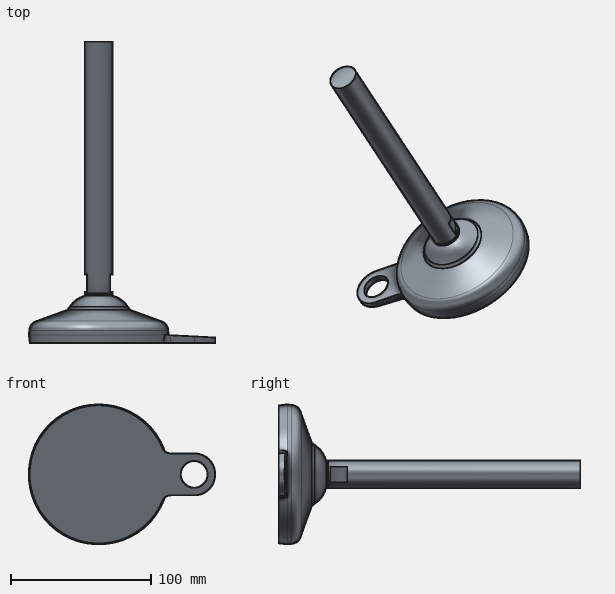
import cadquery as cq
import math

STEM_TOP = 215.0

PAD_RADIUS = 49.99
PAD_BOTTOM_RADIUS = 49.2
RIM_HEIGHT = 6.0
SHOULDER_START_RADIUS = 49.7
SHOULDER_START = 9.0
SHOULDER_MID_RADIUS = 48.0
SHOULDER_MID = 13.3
SHOULDER_END_RADIUS = 43.9
SHOULDER_END = 16.0
SEAT_EDGE_RADIUS = 22.5
SEAT_EDGE_HEIGHT = 23.6
SEAT_RADIUS = 20.9
SEAT_HEIGHT = 25.8

LUG_RADIUS = 15.0
LUG_CENTER = 68.05
LUG_HOLE_RADIUS = 9.5
LUG_TIP_THICKNESS = 4.0
LUG_ROOT_THICKNESS = 6.0
LUG_BLEND_RADIUS = 6.0

STEM_RADIUS = 10.0
DOME_TOP = 33.8
DOME_MID_RADIUS = 16.5
DOME_MID = 30.5
COLLAR_TOP = 34.5
NECK_RADIUS = 9.0
NECK_TOP = 35.5
FLAT_BOTTOM = 36.8
FLAT_TOP = 48.8
FLAT_OFFSET = 8.4


def revolve_about_y(profile):
    return profile.close().revolve(360, (0, 0, 0), (0, 1, 0))


def extrude_up(sketch, height):
    """Extrude an XZ sketch toward +Y."""
    return sketch.extrude(-height)


def make_pad():
    return revolve_about_y(
        cq.Workplane("XY")
        .lineTo(PAD_BOTTOM_RADIUS, 0)
        .lineTo(PAD_RADIUS, RIM_HEIGHT)
        .lineTo(SHOULDER_START_RADIUS, SHOULDER_START)
        .threePointArc((SHOULDER_MID_RADIUS, SHOULDER_MID), (SHOULDER_END_RADIUS, SHOULDER_END))
        .lineTo(SEAT_EDGE_RADIUS, SEAT_EDGE_HEIGHT)
        .lineTo(SEAT_RADIUS, SEAT_HEIGHT)
        .lineTo(0, SEAT_HEIGHT)
    )


def make_lug():
    blend_z = LUG_RADIUS + LUG_BLEND_RADIUS
    blend_distance = PAD_BOTTOM_RADIUS + LUG_BLEND_RADIUS
    blend_x = math.sqrt(blend_distance**2 - blend_z**2)
    pad_share = PAD_BOTTOM_RADIUS / blend_distance
    pad_x = blend_x * pad_share
    pad_z = blend_z * pad_share
    pad_angle = math.pi + math.atan2(blend_z, blend_x)
    mid_angle = (pad_angle + 3 * math.pi / 2) / 2
    mid_x = blend_x + LUG_BLEND_RADIUS * math.cos(mid_angle)
    mid_z = blend_z + LUG_BLEND_RADIUS * math.sin(mid_angle)
    tip = LUG_CENTER + LUG_RADIUS

    outline = (
        cq.Workplane("XZ")
        .lineTo(pad_x, pad_z)
        .threePointArc((mid_x, mid_z), (blend_x, LUG_RADIUS))
        .lineTo(LUG_CENTER, LUG_RADIUS)
        .threePointArc((tip, 0), (LUG_CENTER, -LUG_RADIUS))
        .lineTo(blend_x, -LUG_RADIUS)
        .threePointArc((mid_x, -mid_z), (pad_x, -pad_z))
        .close()
    )
    blank = extrude_up(outline, RIM_HEIGHT)

    wedge = (
        cq.Workplane("XY")
        .lineTo(tip, 0)
        .lineTo(tip, LUG_TIP_THICKNESS)
        .lineTo(pad_x, LUG_ROOT_THICKNESS)
        .lineTo(0, LUG_ROOT_THICKNESS)
        .close()
        .extrude(PAD_RADIUS, both=True)
    )
    hole = extrude_up(cq.Workplane("XZ").center(LUG_CENTER, 0).circle(LUG_HOLE_RADIUS), RIM_HEIGHT)
    return blank.intersect(wedge).cut(hole)


def make_foot():
    return make_pad().union(make_lug())


def make_stem():
    """Round stem with a neck and a dome that rests on the foot's seat."""
    stem = revolve_about_y(
        cq.Workplane("XY")
        .moveTo(0, SEAT_HEIGHT)
        .lineTo(SEAT_RADIUS, SEAT_HEIGHT)
        .threePointArc((DOME_MID_RADIUS, DOME_MID), (STEM_RADIUS, DOME_TOP))
        .lineTo(STEM_RADIUS, COLLAR_TOP)
        .lineTo(NECK_RADIUS, COLLAR_TOP)
        .lineTo(NECK_RADIUS, NECK_TOP)
        .lineTo(STEM_RADIUS, NECK_TOP)
        .lineTo(STEM_RADIUS, STEM_TOP)
        .lineTo(0, STEM_TOP)
    )
    for side in (-1, 1):
        flat_cut = cq.Workplane("XY").box(
            STEM_RADIUS, FLAT_TOP - FLAT_BOTTOM, 2 * STEM_RADIUS
        ).translate((side * (FLAT_OFFSET + STEM_RADIUS / 2), (FLAT_TOP + FLAT_BOTTOM) / 2, 0))
        stem = stem.cut(flat_cut)
    return stem


foot = make_foot()
stem = make_stem()
result = cq.Compound.makeCompound([foot.solids().val(), stem.solids().val()])